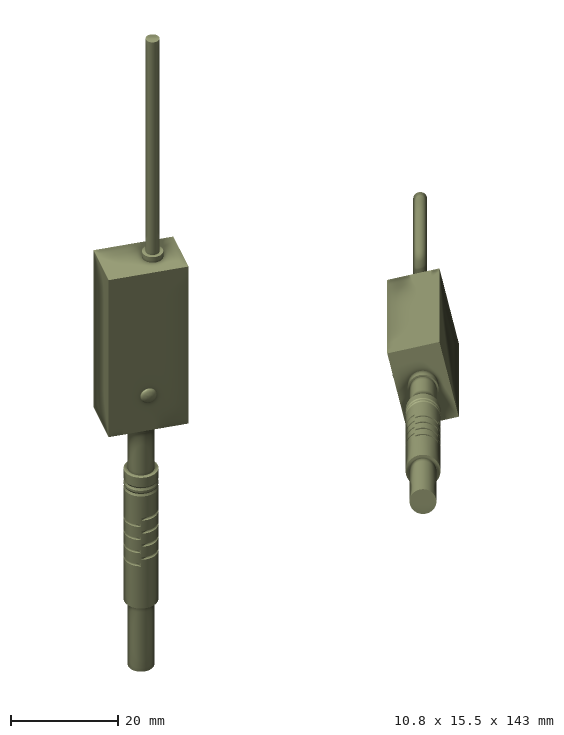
import cadquery as cq


HOUSING_X = 10.0
HOUSING_Y = 15.5
HOUSING_BOTTOM = 57.0
HOUSING_HEIGHT = 36.0
HOUSING_TOP = HOUSING_BOTTOM + HOUSING_HEIGHT

CABLE_COLLAR_DIAMETER = 5.8
CABLE_COLLAR_HEIGHT = 2.0
WIRE_COLLAR_DIAMETER = 4.0
WIRE_COLLAR_HEIGHT = 1.25

CABLE_DIAMETER = 5.0
CABLE_TOP = HOUSING_BOTTOM - CABLE_COLLAR_HEIGHT

WIRE_DIAMETER = 2.6
WIRE_Y = 2.25
WIRE_BOTTOM = HOUSING_TOP + WIRE_COLLAR_HEIGHT
WIRE_TOP = 143.0

LAMP_DIAMETER = 3.2
LAMP_HEIGHT = 0.8
LAMP_Z = 65.0

SLEEVE_DIAMETER = 6.5
SLEEVE_BOTTOM = 15.0
SLEEVE_LENGTH = 30.0
SLEEVE_TURN = -60.0

GROOVE_COUNT = 2
GROOVE_WIDTH = 0.85
GROOVE_DEPTH = 0.25
GROOVE_PITCH = 1.3
TOP_GROOVE_Z = 42.43

SLOT_LEVELS = 8
SLOT_PITCH = 1.5
SLOT_HEIGHT = 0.6
TOP_SLOT_Z = 35.5
SLOT_FLOOR = 2.33


def upright_cylinder(diameter, bottom, height, y=0.0):
    return cq.Workplane("XY", origin=(0, y, bottom)).circle(diameter / 2).extrude(height)


def make_housing():
    block = (
        cq.Workplane("XY", origin=(0, 0, HOUSING_BOTTOM))
        .rect(HOUSING_X, HOUSING_Y)
        .extrude(HOUSING_HEIGHT)
    )
    cable_collar = upright_cylinder(CABLE_COLLAR_DIAMETER, CABLE_TOP, CABLE_COLLAR_HEIGHT)
    wire_collar = upright_cylinder(WIRE_COLLAR_DIAMETER, HOUSING_TOP, WIRE_COLLAR_HEIGHT, WIRE_Y)
    return block.union(cable_collar).union(wire_collar)


def make_cable():
    return upright_cylinder(CABLE_DIAMETER, 0, CABLE_TOP)


def make_wire():
    return upright_cylinder(WIRE_DIAMETER, WIRE_BOTTOM, WIRE_TOP - WIRE_BOTTOM, WIRE_Y)


def make_lamp():
    """Half-ellipsoid dome standing on the +X wall of the housing."""
    base_radius = LAMP_DIAMETER / 2
    return (
        cq.Workplane("XY", origin=(HOUSING_X / 2, 0, LAMP_Z))
        .moveTo(LAMP_HEIGHT, 0)
        .ellipseArc(LAMP_HEIGHT, base_radius, 0, 90, startAtCurrent=True)
        .lineTo(0, 0)
        .close()
        .revolve(360, (0, 0, 0), (1, 0, 0))
    )


def groove_ring(z):
    """Ring of V section that cuts one groove into the sleeve."""
    rim = SLEEVE_DIAMETER / 2
    half_width = GROOVE_WIDTH / 2
    section = [(rim, z - half_width), (rim - GROOVE_DEPTH, z), (rim, z + half_width)]
    return cq.Workplane("XZ").polyline(section).close().revolve(360, (0, 0, 0), (0, 1, 0))


def slot_pair(z):
    """Two opposite cutters whose flat floors stand SLOT_FLOOR from the axis along X."""
    depth = SLEEVE_DIAMETER / 2
    offset = SLOT_FLOOR + depth / 2
    return (
        cq.Workplane("XY", origin=(0, 0, z))
        .pushPoints([(-offset, 0), (offset, 0)])
        .box(depth, SLEEVE_DIAMETER, SLOT_HEIGHT)
    )


def make_sleeve():
    sleeve = upright_cylinder(SLEEVE_DIAMETER, SLEEVE_BOTTOM, SLEEVE_LENGTH)
    sleeve = sleeve.cut(upright_cylinder(CABLE_DIAMETER, SLEEVE_BOTTOM, SLEEVE_LENGTH))
    for number in range(GROOVE_COUNT):
        sleeve = sleeve.cut(groove_ring(TOP_GROOVE_Z - number * GROOVE_PITCH))
    for level in range(SLOT_LEVELS):
        quarter_turn = 90 * ((level + 1) % 2)
        cutters = slot_pair(TOP_SLOT_Z - level * SLOT_PITCH)
        sleeve = sleeve.cut(cutters.rotate((0, 0, 0), (0, 0, 1), quarter_turn))
    return sleeve.rotate((0, 0, 0), (0, 0, 1), SLEEVE_TURN)


housing = make_housing()
cable = make_cable()
wire = make_wire()
lamp = make_lamp()
sleeve = make_sleeve()

result = cq.Compound.makeCompound(
    [housing.val(), cable.val(), wire.val(), lamp.val(), sleeve.val()]
)